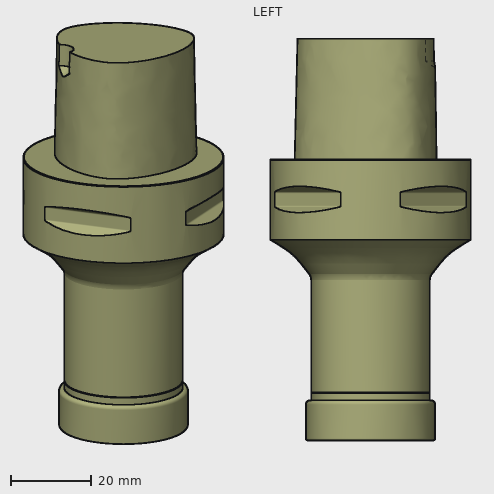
import cadquery as cq
import math

shank_height = 30.0
flange_bottom = -20.0
flare_arc_top = -22.1
flare_arc_bottom = -26.0
neck_top = -29.2
joint_z = -58.2
collar_top = -60.0
collar_bottom = -70.0

flange_radius = 25.0
flare_arc_top_radius = 21.6
flare_arc_bottom_radius = 17.3
neck_radius = 14.8
collar_radius = 16.1

edge_chamfer = 0.2
neck_fillet = 2.3
collar_top_fillet = 1.0
collar_bottom_fillet = 0.5

base_mean_radius = 17.7
top_mean_radius = 17.1
base_eccentricity = 1.2
top_eccentricity = 1.1
outline_points = 48

notch_radius = 4.0
notch_axis_y = -17.6
notch_wall_depth = 5.5
notch_tip_depth = 2.8

slot_count = 4
slot_first_angle = 45.0
slot_z = -10.0
slot_floor_distance = 22.1
slot_floor_height = 3.6
slot_wall_angle = 27.0
slot_corner_fillet = 0.5


def lobed_outline(mean_radius, eccentricity):
    """Points of a three-lobed constant-width curve with one lobe toward +Y."""
    points = []
    for index in range(outline_points):
        angle = 2 * math.pi * index / outline_points
        radial = mean_radius + eccentricity * math.cos(3 * angle)
        tangential = -3 * eccentricity * math.sin(3 * angle)
        along_lobe = radial * math.cos(angle) - tangential * math.sin(angle)
        across_lobe = radial * math.sin(angle) + tangential * math.cos(angle)
        points.append((-across_lobe, along_lobe))
    return points


def make_shank():
    return (
        cq.Workplane("XY")
        .spline(lobed_outline(base_mean_radius, base_eccentricity), periodic=True)
        .close()
        .workplane(offset=shank_height)
        .spline(lobed_outline(top_mean_radius, top_eccentricity), periodic=True)
        .close()
        .loft(ruled=True)
    )


def make_shank_notch():
    """A drilled pocket: cylinder with a conical tip, open at the shank's top."""
    wall_bottom = shank_height - notch_wall_depth
    return (
        cq.Workplane("XZ")
        .moveTo(0, shank_height)
        .lineTo(notch_radius, shank_height)
        .lineTo(notch_radius, wall_bottom)
        .lineTo(0, wall_bottom - notch_tip_depth)
        .close()
        .revolve(360, (0, 0), (0, 1))
        .translate((0, notch_axis_y, 0))
    )


def make_flange_and_neck():
    revolved = (
        cq.Workplane("XZ")
        .lineTo(flange_radius - edge_chamfer, 0)
        .lineTo(flange_radius, -edge_chamfer)
        .lineTo(flange_radius, flange_bottom)
        .lineTo(flare_arc_top_radius, flare_arc_top)
        .tangentArcPoint((flare_arc_bottom_radius, flare_arc_bottom), relative=False)
        .lineTo(neck_radius, neck_top)
        .lineTo(neck_radius, joint_z + edge_chamfer)
        .lineTo(neck_radius - edge_chamfer, joint_z)
        .lineTo(0, joint_z)
        .close()
        .revolve(360, (0, 0), (0, 1))
    )
    neck_corner = cq.selectors.BoxSelector(
        (-flange_radius, -flange_radius, neck_top - edge_chamfer),
        (flange_radius, flange_radius, neck_top + edge_chamfer),
    )
    return revolved.edges("%CIRCLE").edges(neck_corner).fillet(neck_fillet)


def make_gripper_slot():
    """A trapezoidal slot cutter that widens outward, with rounded floor corners, on the +X side."""
    slot_depth = flange_radius - slot_floor_distance
    floor_half = slot_floor_height / 2
    mouth_half = floor_half + slot_depth * math.tan(math.radians(slot_wall_angle))
    return (
        cq.Workplane("XZ")
        .moveTo(slot_floor_distance, slot_z - floor_half)
        .lineTo(flange_radius, slot_z - mouth_half)
        .lineTo(flange_radius, slot_z + mouth_half)
        .lineTo(slot_floor_distance, slot_z + floor_half)
        .close()
        .extrude(flange_radius, both=True)
        .edges("<X").edges("|Y").fillet(slot_corner_fillet)
    )


def make_holder():
    holder = make_flange_and_neck().union(make_shank()).cut(make_shank_notch())
    slot = make_gripper_slot()
    for index in range(slot_count):
        angle = slot_first_angle + index * 360 / slot_count
        holder = holder.cut(slot.rotate((0, 0, 0), (0, 0, 1), angle))
    return holder


def make_nut():
    """A wide collar with a short shoulder that meets the neck."""
    collar = (
        cq.Workplane("XY", origin=(0, 0, collar_bottom))
        .circle(collar_radius)
        .extrude(collar_top - collar_bottom)
        .faces(">Z").edges().fillet(collar_top_fillet)
        .faces("<Z").edges().fillet(collar_bottom_fillet)
    )
    shoulder = (
        cq.Workplane("XY", origin=(0, 0, collar_top))
        .circle(neck_radius)
        .extrude(joint_z - collar_top)
    )
    return collar.union(shoulder)


holder = make_holder()
nut = make_nut()
result = cq.Compound.makeCompound([holder.solids().val(), nut.solids().val()])